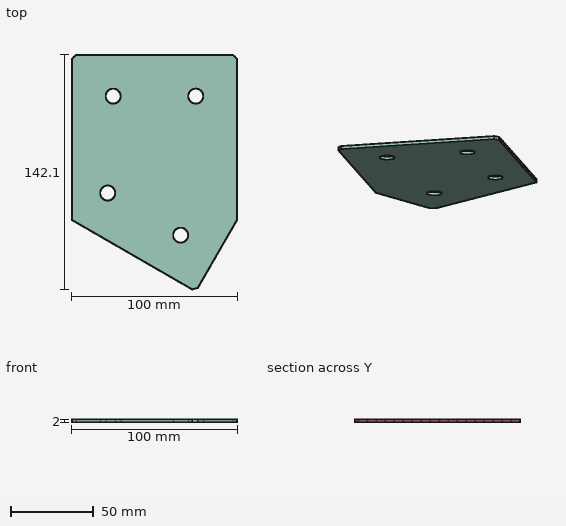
import cadquery as cq
import math

side = 100.0
thickness = 2.0
corner_cut = side / 40
hole_diameter = 9.0
hole_inset = side / 4
top_hole_spacing = side / 2
tilted_hole_spacing = 51.0
tilt = math.radians(30)

long_edge = side * math.cos(tilt)


def tilted_point(along, inward):
    """Point measured along the long lower edge and inward from it."""
    return (
        along * math.cos(tilt) + inward * math.sin(tilt),
        -along * math.sin(tilt) + inward * math.cos(tilt),
    )


outline = [
    (0, 0),
    tilted_point(long_edge - corner_cut, 0),
    tilted_point(long_edge, corner_cut),
    (side, 0),
    (side, side - corner_cut),
    (side - corner_cut, side),
    (corner_cut, side),
    (0, side - corner_cut),
]

last_tilted_hole = long_edge - hole_inset
hole_centers = [
    (hole_inset, side - hole_inset),
    (hole_inset + top_hole_spacing, side - hole_inset),
    tilted_point(last_tilted_hole - tilted_hole_spacing, hole_inset),
    tilted_point(last_tilted_hole, hole_inset),
]

plate = cq.Workplane("XY").polyline(outline).close().extrude(thickness)
holes = cq.Workplane("XY").pushPoints(hole_centers).circle(hole_diameter / 2).extrude(thickness)
result = plate.cut(holes)